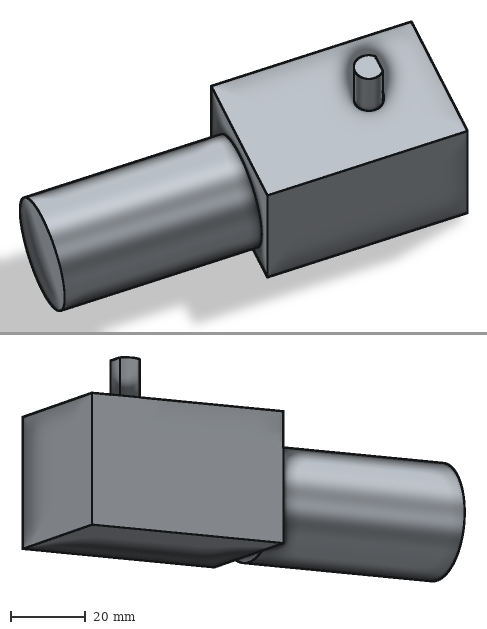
import cadquery as cq

total_length = 115
box_width = 40.0
box_length = 58.0
box_height = 36.0

motor_diameter = 32.0
motor_length = total_length - box_length
motor_drop = 2.0
motor_axis_z = motor_diameter / 2 - motor_drop

shaft_diameter = 8
shaft_height = 14.0
shaft_back_distance = 20.5
flat_depth = 1.0
round_base_height = 1.0
shaft_y = box_length - shaft_back_distance


def make_housing():
    """Block with its front face at Y = 0 and its underside at Z = 0."""
    return cq.Workplane("XY").box(box_width, box_length, box_height, centered=(True, False, False))


def make_motor():
    """Cylinder running forward from the front face of the housing."""
    return (
        cq.Workplane("XZ")
        .center(0, motor_axis_z)
        .circle(motor_diameter / 2)
        .extrude(motor_length)
    )


def make_shaft():
    """D-shaped shaft above a short, fully round base."""
    shaft = (
        cq.Workplane("XY", origin=(0, shaft_y, box_height))
        .circle(shaft_diameter / 2)
        .extrude(shaft_height)
    )
    flat_y = shaft_y + shaft_diameter / 2 - flat_depth
    flat_cut = cq.Workplane("XY", origin=(0, flat_y, box_height + round_base_height)).box(
        shaft_diameter, shaft_diameter, shaft_height, centered=(True, False, False)
    )
    return shaft.cut(flat_cut)


result = make_housing().union(make_motor()).union(make_shaft())